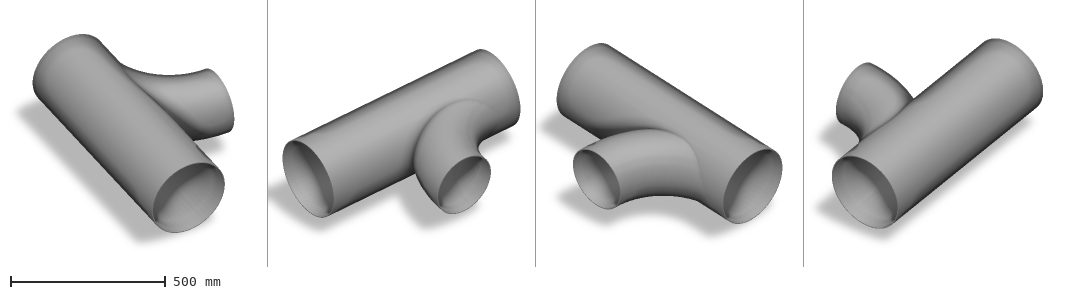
import cadquery as cq

pipe_length = 762.0
pipe_outer_diameter = 273.0
wall = 3.0
pipe_outer_radius = pipe_outer_diameter / 2
pipe_inner_radius = pipe_outer_radius - wall

branch_outer_diameter = 219.1
branch_outer_radius = branch_outer_diameter / 2
branch_inner_radius = branch_outer_radius - wall
bend_radius = 305.0
bend_angle = 90.0

branch_end_x = 0.0
branch_end_y = pipe_outer_radius + bend_radius - branch_outer_radius


def pipe_cylinder(radius):
    """Solid cylinder along the full length of the main pipe."""
    return cq.Workplane("YZ").circle(radius).extrude(pipe_length / 2, both=True)


def elbow(radius):
    """Solid quarter-turn bend, from the open branch end down into the pipe."""
    bend_axis_start = (-bend_radius, 1, 0)
    bend_axis_end = (-bend_radius, 0, 0)
    return (
        cq.Workplane("XZ", origin=(branch_end_x, branch_end_y, 0))
        .circle(radius)
        .revolve(bend_angle, bend_axis_start, bend_axis_end)
    )


pipe_bore = pipe_cylinder(pipe_inner_radius)
branch_bore = elbow(branch_inner_radius)

outside = pipe_cylinder(pipe_outer_radius).union(elbow(branch_outer_radius))
result = outside.cut(pipe_bore).cut(branch_bore)